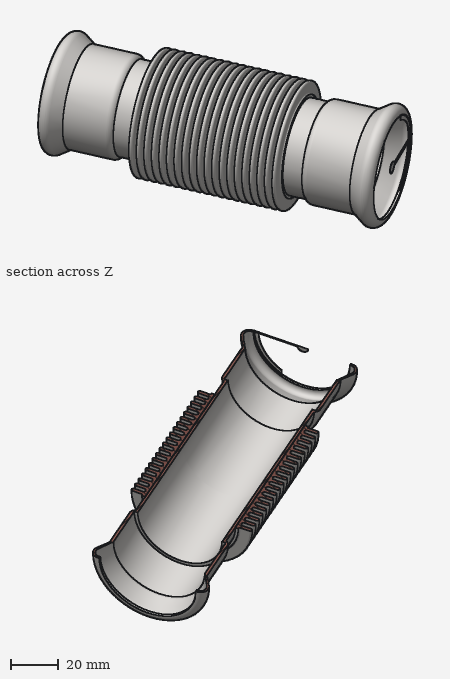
import cadquery as cq
import math

overall_length = 149.0
tag_thickness = 0.1

pipe_outer_radius = 42.0 / 2
pipe_bore_radius = 39.0 / 2
socket_outer_radius = 45.5 / 2
socket_bore_radius = 42.3 / 2
socket_seat_radius = 43.4 / 2
socket_depth = 31.1
shoulder_round_radius = 3.0
shoulder_round_start = 29.8

bead_ring_radius = 23.1
bead_round_radius = 3.6
bead_wall = 1.2
bead_cone_end = 10.6
lip_radius = 22.4
seat_step_length = 0.6

rib_count = 20
rib_pitch = 3.35
rib_width = 1.8
rib_crest_radius = 56.0 / 2
valley_radius = 22.4

tag_outer_radius = socket_outer_radius
tag_inner_radius = 41.0 / 2
tag_cut_height = 9.7
tag_stem_width = 1.3
tag_disc_diameter = 5.2

pipe_length = overall_length - tag_thickness
pipe_start = -overall_length / 2
pipe_end = pipe_start + pipe_length
pipe_middle = (pipe_start + pipe_end) / 2
bellows_length = rib_count * rib_pitch
bellows_start = pipe_middle - bellows_length / 2


def tangent_angle(from_x, from_r, circle_x, circle_r, radius):
    """Angle on a circle where the tangent line from a given outside point touches it."""
    distance = math.hypot(from_x - circle_x, from_r - circle_r)
    direction = math.atan2(from_r - circle_r, from_x - circle_x)
    return direction + math.acos(radius / distance)


def on_circle(center_x, center_r, radius, angle):
    return (center_x + radius * math.cos(angle), center_r + radius * math.sin(angle))


def revolve_about_x(profile):
    return profile.close().revolve(360, (0, 0, 0), (1, 0, 0))


def make_socket_half():
    """Half of the pipe: mouth face at X = 0, plain pipe end at half of the pipe length."""
    bead_center = (bead_round_radius, bead_ring_radius)
    groove_radius = bead_round_radius - bead_wall

    outer_angle = tangent_angle(bead_cone_end, socket_outer_radius, *bead_center, bead_round_radius)
    outer_tangent = on_circle(*bead_center, bead_round_radius, outer_angle)
    outer_middle = on_circle(*bead_center, bead_round_radius, (outer_angle + math.pi) / 2)

    groove_angle = tangent_angle(bead_cone_end, socket_seat_radius, *bead_center, groove_radius)
    groove_tangent = on_circle(*bead_center, groove_radius, groove_angle)
    groove_middle = on_circle(*bead_center, groove_radius, (groove_angle + math.pi) / 2)

    round_center = (shoulder_round_start, socket_outer_radius - shoulder_round_radius)
    round_end_angle = math.asin((pipe_outer_radius - round_center[1]) / shoulder_round_radius)
    round_end = on_circle(*round_center, shoulder_round_radius, round_end_angle)
    round_middle = on_circle(*round_center, shoulder_round_radius, (round_end_angle + math.pi / 2) / 2)

    profile = (
        cq.Workplane("XY")
        .moveTo(0, lip_radius)
        .lineTo(0, bead_ring_radius)
        .threePointArc(outer_middle, outer_tangent)
        .lineTo(bead_cone_end, socket_outer_radius)
        .lineTo(shoulder_round_start, socket_outer_radius)
        .threePointArc(round_middle, round_end)
        .lineTo(pipe_length / 2, pipe_outer_radius)
        .lineTo(pipe_length / 2, pipe_bore_radius)
        .lineTo(socket_depth, pipe_bore_radius)
        .lineTo(socket_depth, socket_bore_radius)
        .lineTo(bead_cone_end + seat_step_length, socket_bore_radius)
        .lineTo(bead_cone_end, socket_seat_radius)
        .lineTo(*groove_tangent)
        .threePointArc(groove_middle, (bead_wall, bead_ring_radius))
        .lineTo(bead_wall, lip_radius)
    )
    return revolve_about_x(profile)


def make_pipe():
    left_half = make_socket_half().translate((pipe_start, 0, 0))
    right_half = left_half.mirror("YZ", (pipe_middle, 0, 0))
    return left_half.union(right_half).clean()


def make_bellows():
    """Corrugated sleeve around the pipe, with round crests and round valleys."""
    crest_round = rib_width / 2
    valley_round = (rib_pitch - rib_width) / 2
    flank_top = rib_crest_radius - crest_round
    flank_bottom = valley_radius + valley_round
    valley_offset = valley_round * math.sqrt(0.5)

    profile = (
        cq.Workplane("XY")
        .moveTo(bellows_start, pipe_outer_radius)
        .lineTo(bellows_start, valley_radius)
    )
    for rib in range(rib_count):
        rib_center = bellows_start + (rib + 0.5) * rib_pitch
        left_flank = rib_center - crest_round
        right_flank = rib_center + crest_round
        profile = (
            profile.threePointArc(
                (left_flank - valley_round + valley_offset, flank_bottom - valley_offset),
                (left_flank, flank_bottom),
            )
            .lineTo(left_flank, flank_top)
            .threePointArc((rib_center, rib_crest_radius), (right_flank, flank_top))
            .lineTo(right_flank, flank_bottom)
            .threePointArc(
                (right_flank + valley_round - valley_offset, flank_bottom - valley_offset),
                (right_flank + valley_round, valley_radius),
            )
        )
    profile = profile.lineTo(bellows_start + bellows_length, pipe_outer_radius)
    return revolve_about_x(profile)


def make_tag():
    """Flat arc on the +X mouth face; behind it, inside the mouth, a stem carries a disc on the axis."""
    mouth = cq.Workplane("YZ", origin=(pipe_end, 0, 0))
    ring = mouth.circle(tag_outer_radius).circle(tag_inner_radius).extrude(tag_thickness)
    arc_window = (
        mouth.center(tag_cut_height + tag_outer_radius / 2, 0)
        .rect(tag_outer_radius, 2 * tag_outer_radius)
        .extrude(tag_thickness)
    )
    arc = ring.intersect(arc_window)

    stem_length = (tag_inner_radius + lip_radius) / 2
    stem = mouth.center(stem_length / 2, 0).rect(stem_length, tag_stem_width).extrude(-tag_thickness)
    disc = mouth.circle(tag_disc_diameter / 2).extrude(-tag_thickness)
    return arc.union(stem).union(disc)


pipe = make_pipe()
bellows = make_bellows()
tag = make_tag()

result = cq.Compound.makeCompound([pipe.val(), bellows.val(), tag.val()])